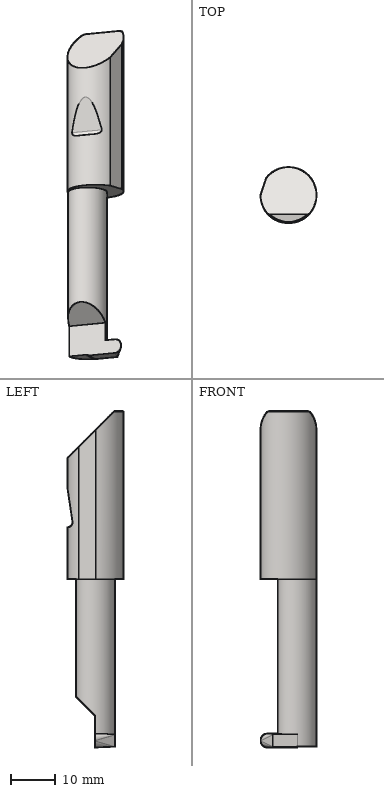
import cadquery as cq

total_length = 76.15
shank_radius = 6.36
shank_bottom = 38.1
rim_chamfer = 0.3
bevel_start_y = -4.38
flat_end_y = 3.8

notch_bottom = 49.8
notch_top = 58.6
notch_depth = 1.15
notch_radius = 1.15

neck_radius = 4.4
neck_x = shank_radius - neck_radius
neck_bottom = 0.2
rake_y = 0.15
relief_top = 7.2

head_right = neck_x
nose_x = -6.3
heel_x = -3.6
head_height = 3.2
flank_clearance = 0.19
heel_corner = 0.04


def yz_prism(points):
    """Prism through the whole width of the part, from a (y, z) outline."""
    return cq.Workplane("YZ").polyline(points).close().extrude(shank_radius, both=True)


def make_shank():
    shank = cq.Workplane("XY").workplane(offset=shank_bottom).circle(shank_radius)
    shank = shank.extrude(total_length - shank_bottom).faces(">Z").chamfer(rim_chamfer)
    bevel_run = 2 * shank_radius
    bevel_end_y = bevel_start_y + bevel_run
    bevel = yz_prism([
        (bevel_start_y, total_length),
        (bevel_end_y, total_length),
        (bevel_end_y, total_length - bevel_run),
    ])
    return shank.cut(bevel).cut(make_side_flat()).cut(make_notch())


def make_side_flat():
    """Chord cut between y = 0 and flat_end_y on the -X side."""
    flat_end_x = -(shank_radius**2 - flat_end_y**2) ** 0.5
    return (
        cq.Workplane("XY")
        .polyline([(-shank_radius, 0), (flat_end_x, flat_end_y), (-shank_radius, flat_end_y)])
        .close()
        .extrude(total_length)
    )


def make_notch():
    """Sloping notch that ends in a quarter-round shoulder."""
    floor_y = shank_radius - notch_depth
    half_chord = notch_radius * 0.5**0.5
    return (
        cq.Workplane("YZ")
        .moveTo(shank_radius, notch_top)
        .lineTo(floor_y, notch_bottom + notch_radius)
        .threePointArc(
            (shank_radius - half_chord, notch_bottom + notch_radius - half_chord),
            (shank_radius, notch_bottom),
        )
        .close()
        .extrude(shank_radius, both=True)
    )


def make_neck():
    neck = cq.Workplane("XY").workplane(offset=neck_bottom).center(neck_x, 0)
    neck = neck.circle(neck_radius).extrude(shank_bottom - neck_bottom)
    relief = yz_prism([
        (rake_y, 0),
        (rake_y, relief_top),
        (shank_radius, relief_top + shank_radius - rake_y),
        (shank_radius, 0),
    ])
    return neck.cut(relief)


def head_section(y, left, bottom, top, radius):
    """Rectangle in a plane of constant y, with its two left corners rounded."""
    arc_inset = radius * (1 - 0.5**0.5)
    return (
        cq.Workplane("XZ", origin=(0, y, 0))
        .moveTo(head_right, bottom)
        .lineTo(head_right, top)
        .lineTo(left + radius, top)
        .threePointArc((left + arc_inset, top - arc_inset), (left, top - radius))
        .lineTo(left, bottom + radius)
        .threePointArc((left + arc_inset, bottom + arc_inset), (left + radius, bottom))
        .close()
        .wire()
        .val()
    )


def make_head():
    nose_radius = head_height / 2 - heel_corner
    rake_section = head_section(rake_y, nose_x, 0, head_height, nose_radius)
    heel_section = head_section(
        -neck_radius, heel_x, flank_clearance, head_height - flank_clearance, heel_corner
    )
    return cq.Workplane(cq.Solid.makeLoft([rake_section, heel_section], True))


result = make_shank().union(make_neck()).union(make_head())